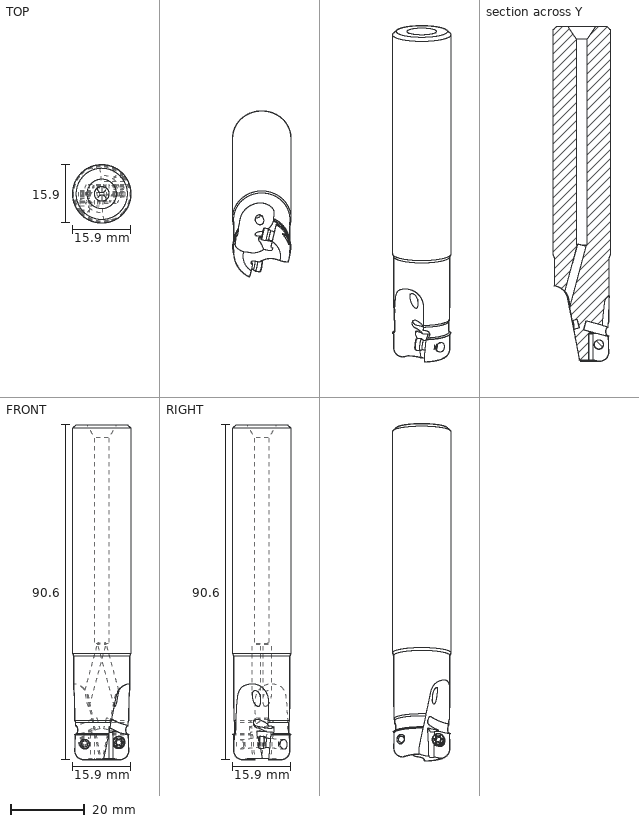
import cadquery as cq
import math


total_length = 90.6
shank_diameter = 15.9
shank_radius = shank_diameter / 2
shank_bottom = 28.8
end_chamfer_radial = 1.0
end_chamfer_axial = 0.9
neck_top = 28.1
neck_radius = 7.6
waist_top = 14.1
waist_radius = 7.5
collar_top = 10.7
collar_radius = 7.3
step_height = 0.5

head_radius = 7.6
head_corner_radius = 2.5
lip_radius = 7.9
lip_height = 6.9
lip_slope_height = 0.2
lip_shoulder_height = 0.3
dish_radius = 3.8
dish_depth = 0.4

supply_radius = 2.0
supply_bottom = 31.45
countersink_radius = 4.0
countersink_depth = 3.4
branch_diameter = 2.3
branch_offset = 1.45
branch_angle = 15.0
branch_length = 19.0

wall_lean = 11.3
wall_twist = 2.0
wall_undercut = 5.0
pocket_top = 16.8
root_x_at_top = 3.1
root_y_at_top = 1.45
pocket_fillet = 4.8
runout_radius = pocket_fillet
pocket_reach = 12.7
pocket_length = 21.75

axial_rake = 5.0
screw_x = 4.6
seat_y = 2.3
screw_z = 4.5
seat_side_x = 1.9
seat_top_z = 7.5
seat_side_height = 3.8
seat_reach = 10.9
corner_groove_radius = 0.5

groove_radius = 1.2
groove_slope = 15.0
groove_x = 0.9
groove_outer_end = (-1.1, 10.2)
groove_inner_end = (2.2, 9.6)
groove_length = 10.9

screw_radius = 1.3
screw_tip_height = -2.7
screw_tip_chamfer = 0.45
head_cone_bottom = 1.1
head_cone_top = 1.7
screw_head_top = 3.1
screw_head_radius = 1.6
screw_head_chamfer = 0.2
hole_length = 18.1

lobe_count = 6
drive_core_radius = 0.7
lobe_radius = 0.25
lobe_circle_radius = 0.86
drive_depth = 1.1

half_turns = [0, 180]
seat_plane = cq.Plane(
    origin=(screw_x, seat_y, screw_z),
    xDir=(1, 0, 0),
    normal=(0, -math.cos(math.radians(axial_rake)), math.sin(math.radians(axial_rake))),
)


def about_tool_axis(shape, angle):
    return shape.rotate((0, 0, 0), (0, 0, 1), angle)


def make_blank():
    """Turned outline of the holder, revolved about the tool axis."""
    corner_centre_radius = head_radius - head_corner_radius
    corner_mid = head_corner_radius * math.sqrt(0.5)
    outline = (
        cq.Workplane("XZ")
        .moveTo(0, dish_depth)
        .lineTo(dish_radius, dish_depth)
        .lineTo(corner_centre_radius, 0)
        .threePointArc(
            (corner_centre_radius + corner_mid, head_corner_radius - corner_mid),
            (head_radius, head_corner_radius),
        )
        .lineTo(head_radius, lip_height - lip_slope_height)
        .lineTo(lip_radius, lip_height)
        .lineTo(collar_radius, lip_height + lip_shoulder_height)
        .lineTo(collar_radius, collar_top - step_height)
        .lineTo(waist_radius, collar_top)
        .lineTo(waist_radius, waist_top - step_height)
        .lineTo(neck_radius, waist_top)
        .lineTo(neck_radius, neck_top)
        .lineTo(shank_radius, shank_bottom)
        .lineTo(shank_radius, total_length - end_chamfer_axial)
        .lineTo(shank_radius - end_chamfer_radial, total_length)
        .lineTo(0, total_length)
        .close()
    )
    return outline.revolve(360, (0, 0, 0), (0, 1, 0))


def make_supply_hole():
    """Central coolant hole with its conical mouth."""
    return (
        cq.Workplane("XZ")
        .moveTo(0, supply_bottom)
        .lineTo(supply_radius, supply_bottom)
        .lineTo(supply_radius, total_length - countersink_depth)
        .lineTo(countersink_radius, total_length)
        .lineTo(0, total_length)
        .close()
        .revolve(360, (0, 0, 0), (0, 1, 0))
    )


def make_coolant_branch():
    """Slanted hole from the bottom of the central hole into the chip pocket."""
    lean = math.radians(branch_angle)
    direction = cq.Vector(math.sin(lean), 0, -math.cos(lean))
    start = cq.Vector(0, -branch_offset, supply_bottom)
    return cq.Workplane(cq.Solid.makeCylinder(branch_diameter / 2, branch_length, start, direction))


def pocket_section(plane, reach):
    """Cross-section of the pocket: wall along Y, quarter-round fillet, floor along X."""
    fillet_mid = pocket_fillet * (1 - math.sqrt(0.5))
    section = (
        cq.Workplane(plane)
        .moveTo(0, -pocket_reach)
        .lineTo(0, -pocket_fillet)
        .threePointArc((fillet_mid, -fillet_mid), (pocket_fillet, 0))
    )
    if reach > pocket_fillet:
        section = section.lineTo(reach, 0)
    return section.lineTo(reach, -pocket_reach).close()


def make_chip_pocket():
    """Straight pocket along the leaning wall, ending upwards in a round run-out."""
    lean = math.radians(wall_lean)
    twist = math.radians(wall_twist)
    plane = cq.Plane(
        origin=(root_x_at_top, root_y_at_top, pocket_top),
        xDir=(math.cos(lean), 0, -math.sin(lean)),
        normal=(math.sin(lean), math.tan(twist), math.cos(lean)),
    ).rotated((0, 0, wall_undercut))
    straight = pocket_section(plane, pocket_reach).extrude(-pocket_length)
    runout = pocket_section(plane, runout_radius).revolve(
        90, (runout_radius, 0, 0), (runout_radius, 1, 0)
    )
    return straight.union(runout)


def make_insert_seat():
    """Open recess for the insert, with a relief groove along its inner floor corner."""
    left = seat_side_x - screw_x
    top = seat_top_z - screw_z
    recess = (
        cq.Workplane(seat_plane)
        .moveTo(left, top)
        .lineTo(left, -seat_reach)
        .lineTo(seat_reach, -seat_reach)
        .lineTo(seat_reach, top)
        .close()
        .extrude(seat_side_height)
    )
    corner_groove = (
        cq.Workplane(seat_plane)
        .center(left + corner_groove_radius, top)
        .transformed(rotate=(90, 0, 0))
        .circle(corner_groove_radius)
        .extrude(seat_reach)
    )
    return recess.union(corner_groove)


def make_relief_groove():
    """Round-ended slot that runs outwards and slightly down above the insert seat."""
    slope = math.radians(groove_slope)
    outer_y, outer_z = groove_outer_end
    inner_y, inner_z = groove_inner_end
    plane = cq.Plane(
        origin=(groove_x, (outer_y + inner_y) / 2, (outer_z + inner_z) / 2),
        xDir=(0, 1, 0),
        normal=(math.cos(slope), 0, -math.sin(slope)),
    )
    tilt = math.degrees(math.atan2(inner_z - outer_z, inner_y - outer_y))
    span = math.hypot(inner_y - outer_y, inner_z - outer_z)
    return (
        cq.Workplane(plane)
        .slot2D(span + 2 * groove_radius, 2 * groove_radius, tilt)
        .extrude(groove_length)
    )


def make_screw_hole():
    return cq.Workplane(seat_plane).circle(screw_radius).extrude(-hole_length)


def make_holder():
    holder = make_blank().cut(make_supply_hole())
    cutters = [
        make_chip_pocket(),
        make_insert_seat(),
        make_relief_groove(),
        make_coolant_branch(),
        make_screw_hole(),
    ]
    for angle in half_turns:
        for cutter in cutters:
            holder = holder.cut(about_tool_axis(cutter, angle))
    return holder


def make_drive_recess():
    """Six-lobe recess sunk into the top of the screw head."""
    top = cq.Workplane(seat_plane).workplane(offset=screw_head_top)
    core = top.circle(drive_core_radius).extrude(-drive_depth)
    lobes = (
        top.polarArray(lobe_circle_radius, 0, 360, lobe_count)
        .circle(lobe_radius)
        .extrude(-drive_depth)
    )
    return core.union(lobes)


def make_screw():
    """Countersunk screw standing square on the insert seat."""
    axis_plane = cq.Plane(origin=seat_plane.origin, xDir=seat_plane.xDir, normal=-seat_plane.yDir)
    screw = (
        cq.Workplane(axis_plane)
        .moveTo(0, screw_tip_height)
        .lineTo(screw_radius - screw_tip_chamfer, screw_tip_height)
        .lineTo(screw_radius, screw_tip_height + screw_tip_chamfer)
        .lineTo(screw_radius, head_cone_bottom)
        .lineTo(screw_head_radius, head_cone_top)
        .lineTo(screw_head_radius, screw_head_top - screw_head_chamfer)
        .lineTo(screw_head_radius - screw_head_chamfer, screw_head_top)
        .lineTo(0, screw_head_top)
        .close()
        .revolve(360, (0, 0, 0), (0, 1, 0))
    )
    return screw.cut(make_drive_recess())


holder = make_holder()
screws = [about_tool_axis(make_screw(), angle) for angle in half_turns]

result = cq.Compound.makeCompound([holder.solids().val(), *[screw.solids().val() for screw in screws]])